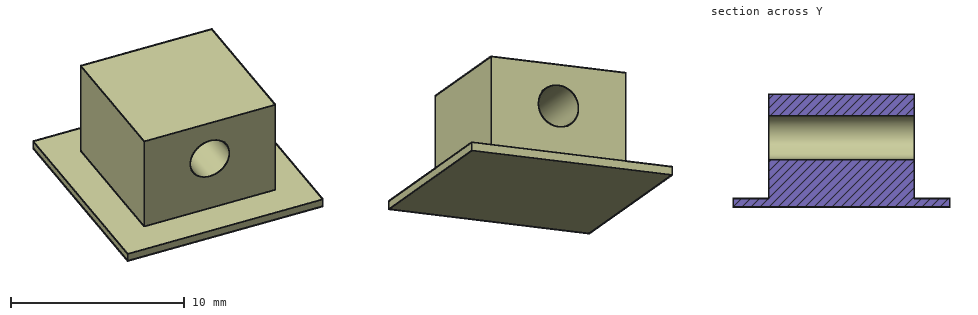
import cadquery as cq

plate_side = 12.5
plate_thickness = 0.5

block_side = 8.4
total_height = 6.5
block_height = total_height - plate_thickness

hole_diameter = 2.5
hole_depth_below_top = 2.5
hole_axis_height = total_height - hole_depth_below_top


def make_plate():
    return cq.Workplane("XY").rect(plate_side, plate_side).extrude(plate_thickness)


def make_block():
    return (
        cq.Workplane("XY")
        .workplane(offset=plate_thickness)
        .rect(block_side, block_side)
        .extrude(block_height)
    )


def make_hole_cutter():
    return (
        cq.Workplane("YZ")
        .center(0, hole_axis_height)
        .circle(hole_diameter / 2)
        .extrude(block_side / 2, both=True)
    )


result = make_plate().union(make_block()).cut(make_hole_cutter())